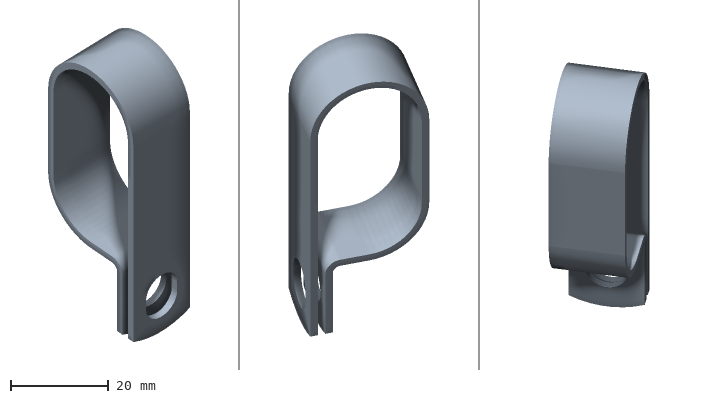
import cadquery as cq
import math

height = 66.55
band_width = 15.9
loop_width = 25.3
thickness = 1.6
leg_gap = 1.6
trim_allowance = 0.65
loop_straight = 22.1
bend_inner_radius = 1.6
hole_diameter = 8.7
slot_length = 11.1
hole_height = 9.5
tip_rise = 1.7

loop_radius = loop_width / 2
upper_center_z = height - loop_radius
lower_center_z = upper_center_z - loop_straight
loop_bottom_z = lower_center_z - loop_radius
short_leg_x = loop_radius - thickness - leg_gap
gap_middle_x = short_leg_x + leg_gap / 2
bend_outer_radius = bend_inner_radius + thickness
bend_center_x = short_leg_x - bend_outer_radius
bend_center_z = loop_bottom_z - bend_inner_radius
half_width = band_width / 2
diagonal = math.sqrt(0.5)


def make_band():
    """Bent strip of constant thickness, extruded across its width."""
    inner_radius = loop_radius - thickness
    return (
        cq.Workplane("XZ")
        .moveTo(loop_radius, -trim_allowance)
        .lineTo(loop_radius, upper_center_z)
        .threePointArc((0, height), (-loop_radius, upper_center_z))
        .lineTo(-loop_radius, lower_center_z)
        .threePointArc(
            (-loop_radius * diagonal, lower_center_z - loop_radius * diagonal),
            (0, loop_bottom_z),
        )
        .lineTo(bend_center_x, loop_bottom_z)
        .threePointArc(
            (bend_center_x + bend_inner_radius * diagonal,
             bend_center_z + bend_inner_radius * diagonal),
            (bend_center_x + bend_inner_radius, bend_center_z),
        )
        .lineTo(short_leg_x - thickness, -trim_allowance)
        .lineTo(short_leg_x, -trim_allowance)
        .lineTo(short_leg_x, bend_center_z)
        .threePointArc(
            (bend_center_x + bend_outer_radius * diagonal,
             bend_center_z + bend_outer_radius * diagonal),
            (bend_center_x, bend_center_z + bend_outer_radius),
        )
        .lineTo(0, loop_bottom_z + thickness)
        .threePointArc(
            (-inner_radius * diagonal, lower_center_z - inner_radius * diagonal),
            (-inner_radius, lower_center_z),
        )
        .lineTo(-inner_radius, upper_center_z)
        .threePointArc((0, height - thickness), (inner_radius, upper_center_z))
        .lineTo(inner_radius, -trim_allowance)
        .close()
        .extrude(half_width, both=True)
    )


def make_side_outline():
    """Block whose rounded lower end shapes the tips of both legs."""
    return (
        cq.Workplane("YZ")
        .moveTo(-half_width, height)
        .lineTo(-half_width, tip_rise)
        .threePointArc((0, 0), (half_width, tip_rise))
        .lineTo(half_width, height)
        .close()
        .extrude(loop_radius, both=True)
    )


def make_bolt_hole():
    """Round cutter for the hole in the short leg, ending halfway across the gap."""
    return (
        cq.Workplane("YZ", origin=(0, 0, hole_height))
        .circle(hole_diameter / 2)
        .extrude(gap_middle_x)
    )


def make_adjusting_slot():
    """Upright slot cutter for the long leg, centred on the bolt hole."""
    return (
        cq.Workplane("YZ", origin=(gap_middle_x, 0, hole_height))
        .slot2D(slot_length, hole_diameter, angle=90)
        .extrude(loop_radius - gap_middle_x)
    )


strip = make_band().intersect(make_side_outline())
result = strip.cut(make_bolt_hole()).cut(make_adjusting_slot())